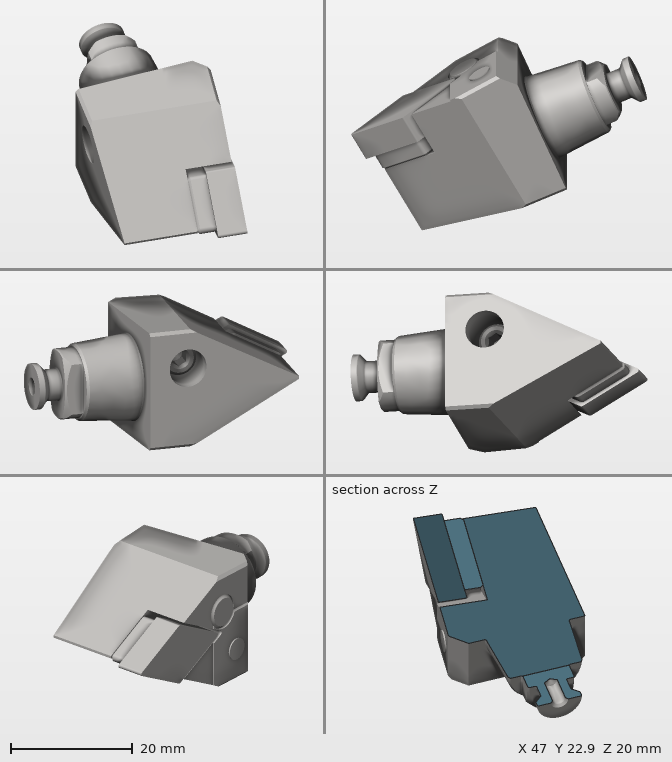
import cadquery as cq
import math

HEAD_RIM_END, HEAD_CONE_END = 1.05, 2.1
HEAD_RADIUS, NECK_RADIUS = 3.85, 2.65
STUD_FILLET = 0.2
NUT_START, SHANK_START = 4.4, 7.4
NUT_RADIUS = 5.88
NUT_RIM_CHAMFER = 0.2
NUT_FLAT_HALF = 4.05
FLAT_FOOT = 0.2
NUT_CORNER_RADIUS = 10.35
NUT_FACE_HALF = 3.8
STUD_HOLE_RADIUS, STUD_HOLE_DEPTH = 1.1, 4.7
STUD_SINK_RADIUS = 1.5

SHANK_NOSE_RADIUS, SHANK_NOSE_CHAMFER = 6.1, 0.4
TAPER_START_RADIUS, TAPER_END_RADIUS = 6.45, 7.15
TAPER_END, COLLAR_END = 16.1, 16.83
COLLAR_RADIUS, SHANK_ROOT_RADIUS = 7.2, 7.35

BLOCK_START = 17.05
BLOCK_HALF = 10.0
EDGE_CHAMFER = 0.5
CORNER_START_Y = 10.15
TILT = 6.0

RAKE_V = 14.8
PAD_HEIGHT = 0.3
PAD_END_U, PAD_TOP_Z = 27.02, 2.8
WEDGE_HALF_ANGLE = math.radians(27.5)
WEDGE_POINT_U, WEDGE_TIP_U = 44.3, 43.9

OVERALL_LENGTH = 47.0
INSERT_THICKNESS = 4.9
INSERT_INRADIUS, INSERT_CORNER_RADIUS = 4.75, 0.4
SHIM_INRADIUS, SHIM_CORNER_RADIUS = 4.15, 0.75
SHIM_SHIFT = 0.15
SHIM_BOTTOM_V, SHIM_CHAMFER = 6.8, 0.4
POCKET_GAP = 0.45

SCREW_U, SCREW_Z = 24.6, 3.52
SCREW_RADIUS, SCREW_CHAMFER = 2.95, 0.5
SCREW_FACE_V = -1.6
SCREW_BORE_RADIUS, SCREW_BORE_END_V = 3.2, 1.9
SCREW_SOCKET_FLATS, SCREW_SOCKET_DEPTH = 2.5, 3.3
SCREW_SINK_RADIUS = 1.8
PLUG_U, PLUG_Z = 21.4, -4.35
PLUG_RADIUS, PLUG_DEPTH, PLUG_PROUD = 1.9, 4.7, 0.25

FAR = 94.0
SINK_ANGLE = math.radians(45)
HEX_HALF_ANGLE = 30.0
DRILL_ANGLE = math.radians(30)

RECESS_V = RAKE_V - PAD_HEIGHT
INSERT_BOTTOM_V = RAKE_V - INSERT_THICKNESS
TILT_ANGLE = math.radians(TILT)
NOSE_REACH = OVERALL_LENGTH - INSERT_CORNER_RADIUS - RAKE_V * math.sin(TILT_ANGLE)
NOSE_ARC_U = NOSE_REACH / math.cos(TILT_ANGLE)
INSERT_CENTER_U = NOSE_ARC_U - (INSERT_INRADIUS - INSERT_CORNER_RADIUS) / math.sin(WEDGE_HALF_ANGLE)


def tilted(shape):
    """Turn a shape from the head frame (U, V, Z) into the part axes."""
    return shape.rotate((0, 0, 0), (0, 0, 1), -TILT)


def head_plane(v, u=0.0, z=0.0):
    """Plane facing +V in the head frame, with local x along U and local y along -Z."""
    return cq.Workplane(cq.Plane(origin=(u, v, z), xDir=(1, 0, 0), normal=(0, 1, 0)))


def turned(points):
    """Solid of revolution about X from (x, radius) points."""
    return cq.Workplane("XY").polyline(points).close().revolve(360, (0, 0, 0), (1, 0, 0))


def diamond(center_u, inradius, bottom_v, height, corner_radius):
    """Rhombic prism with its long diagonal along U and all four upright corners rounded."""
    half_long = inradius / math.sin(WEDGE_HALF_ANGLE)
    half_short = inradius / math.cos(WEDGE_HALF_ANGLE)
    corners = [(half_long, 0), (0, half_short), (-half_long, 0), (0, -half_short)]
    prism = head_plane(bottom_v, center_u).polyline(corners).close().extrude(height)
    return prism.edges("|Y").fillet(corner_radius)


def hex_socket(flats, depth, sink_radius):
    """Cutter along +Z from the origin: hexagon, 45 degree countersink and drilled bottom."""
    across_corners = flats / math.cos(math.radians(HEX_HALF_ANGLE))
    hexagon = cq.Workplane("XY").polygon(6, across_corners).extrude(depth)
    sink_depth = sink_radius / math.tan(SINK_ANGLE)
    sink = cq.Workplane("XZ").polyline([(0, 0), (sink_radius, 0), (0, sink_depth)]).close()
    drill_depth = flats / 2 * math.tan(DRILL_ANGLE)
    drill_points = [(0, depth), (flats / 2, depth), (0, depth + drill_depth)]
    drill = cq.Workplane("XZ").polyline(drill_points).close()
    axis = ((0, 0, 0), (0, 1, 0))
    return hexagon.union(sink.revolve(360, *axis)).union(drill.revolve(360, *axis))


def make_pull_stud():
    stud = turned([
        (0, 0),
        (0, HEAD_RADIUS),
        (HEAD_RIM_END, HEAD_RADIUS),
        (HEAD_CONE_END, NECK_RADIUS),
        (NUT_START, NECK_RADIUS),
        (NUT_START, 0),
    ])
    nut = turned([
        (NUT_START, 0),
        (NUT_START, NUT_RADIUS - NUT_RIM_CHAMFER),
        (NUT_START + NUT_RIM_CHAMFER, NUT_RADIUS),
        (SHANK_START, NUT_RADIUS),
        (SHANK_START, 0),
    ])
    nut_length = SHANK_START - NUT_START
    flats_outline = [
        (NUT_START, -NUT_FLAT_HALF),
        (SHANK_START - FLAT_FOOT, -NUT_FLAT_HALF),
        (SHANK_START, -NUT_FLAT_HALF - FLAT_FOOT),
        (SHANK_START, NUT_FLAT_HALF + FLAT_FOOT),
        (SHANK_START - FLAT_FOOT, NUT_FLAT_HALF),
        (NUT_START, NUT_FLAT_HALF),
    ]
    nut = nut.intersect(cq.Workplane("XY").polyline(flats_outline).close().extrude(FAR, both=True))
    for side in (1, -1):
        center_y = side * (NUT_FACE_HALF - NUT_CORNER_RADIUS)
        cone = (
            cq.Workplane("YZ").workplane(offset=NUT_START).center(center_y, 0)
            .circle(NUT_CORNER_RADIUS).extrude(nut_length, taper=-45)
        )
        nut = nut.intersect(cone)
    stud = stud.union(nut)
    rounded_places = (HEAD_RIM_END, HEAD_CONE_END, NUT_START)
    rounded_edges = stud.edges("%CIRCLE").filter(
        lambda edge: edge.radius() < HEAD_RADIUS + STUD_FILLET
        and any(abs(edge.Center().x - x) < STUD_FILLET / 2 for x in rounded_places)
    )
    stud = rounded_edges.fillet(STUD_FILLET)
    hole = turned([
        (0, 0),
        (0, STUD_SINK_RADIUS),
        (STUD_SINK_RADIUS - STUD_HOLE_RADIUS, STUD_HOLE_RADIUS),
        (STUD_HOLE_DEPTH, STUD_HOLE_RADIUS),
        (STUD_HOLE_DEPTH + STUD_HOLE_RADIUS * math.tan(DRILL_ANGLE), 0),
    ])
    return stud.cut(hole)


def make_shank():
    return turned([
        (SHANK_START, 0),
        (SHANK_START, SHANK_NOSE_RADIUS),
        (SHANK_START + SHANK_NOSE_CHAMFER, TAPER_START_RADIUS),
        (TAPER_END, TAPER_END_RADIUS),
        (COLLAR_END, COLLAR_RADIUS),
        (BLOCK_START, SHANK_ROOT_RADIUS),
        (BLOCK_START, 0),
    ])


def make_base_prism():
    """Square-edged block with the 45 degree back corner and the chamfered -Y edges."""
    outline = [
        (BLOCK_START, -BLOCK_HALF),
        (BLOCK_START + FAR, -BLOCK_HALF),
        (BLOCK_START + FAR, CORNER_START_Y + FAR),
        (BLOCK_START, CORNER_START_Y),
    ]
    prism = cq.Workplane("XY").polyline(outline).close().extrude(BLOCK_HALF, both=True)
    return prism.faces("<Y").edges("|X").chamfer(EDGE_CHAMFER)


def make_wedge_prism():
    """Tilted wedge outline, flat tipped, up to the rake side, with its long edges chamfered."""
    shoulder_u = WEDGE_POINT_U - BLOCK_HALF / math.tan(WEDGE_HALF_ANGLE)
    tip_half = (WEDGE_POINT_U - WEDGE_TIP_U) * math.tan(WEDGE_HALF_ANGLE)
    outline = [
        (-FAR, BLOCK_HALF),
        (shoulder_u, BLOCK_HALF),
        (WEDGE_TIP_U, tip_half),
        (WEDGE_TIP_U, -tip_half),
        (shoulder_u, -BLOCK_HALF),
        (-FAR, -BLOCK_HALF),
    ]
    wedge = head_plane(-FAR).polyline(outline).close().extrude(FAR + RAKE_V)
    wedge = wedge.cut(
        cq.Workplane("YZ").workplane(offset=-FAR)
        .polyline([
            (RAKE_V, PAD_TOP_Z - PAD_HEIGHT),
            (RECESS_V, PAD_TOP_Z),
            (RECESS_V, BLOCK_HALF),
            (RAKE_V, BLOCK_HALF),
        ]).close().extrude(2 * FAR)
    )
    beyond_pad = cq.Workplane("XY").box(FAR, PAD_HEIGHT, FAR, centered=(False, False, True))
    wedge = wedge.cut(beyond_pad.translate((PAD_END_U, RECESS_V, 0)))
    for side, edge_v in ((1, RECESS_V), (-1, RAKE_V)):
        corner = [
            (edge_v, side * BLOCK_HALF),
            (edge_v - EDGE_CHAMFER, side * BLOCK_HALF),
            (edge_v, side * (BLOCK_HALF - EDGE_CHAMFER)),
        ]
        strip = cq.Workplane("YZ").workplane(offset=-FAR).polyline(corner).close()
        wedge = wedge.cut(strip.extrude(2 * FAR))
    return wedge


def make_pocket():
    """Insert pocket: an oversize diamond, so that a gap stays behind the insert."""
    inradius = INSERT_INRADIUS + POCKET_GAP
    return diamond(INSERT_CENTER_U, inradius, SHIM_BOTTOM_V, FAR, INSERT_CORNER_RADIUS)


def rod(u, z, radius, start_v, end_v):
    """Round rod along V in the head frame."""
    return head_plane(start_v, u, z).circle(radius).extrude(end_v - start_v)


def make_screw():
    screw = rod(SCREW_U, SCREW_Z, SCREW_RADIUS, SCREW_FACE_V, RAKE_V).edges().chamfer(SCREW_CHAMFER)
    socket = hex_socket(SCREW_SOCKET_FLATS, SCREW_SOCKET_DEPTH, SCREW_SINK_RADIUS)
    socket = socket.rotate((0, 0, 0), (0, 0, 1), HEX_HALF_ANGLE).rotate((0, 0, 0), (1, 0, 0), -90)
    return tilted(screw.cut(socket.translate((SCREW_U, SCREW_FACE_V, SCREW_Z))))


def make_holder():
    wedge = make_wedge_prism().cut(make_pocket())
    wedge = wedge.cut(rod(SCREW_U, SCREW_Z, SCREW_BORE_RADIUS, -FAR, SCREW_BORE_END_V))
    wedge = wedge.cut(rod(SCREW_U, SCREW_Z, SCREW_RADIUS, SCREW_BORE_END_V, FAR))
    wedge = wedge.cut(rod(PLUG_U, PLUG_Z, PLUG_RADIUS, RAKE_V - PLUG_DEPTH, FAR))
    return tilted(wedge).intersect(make_base_prism()).union(make_shank())


def make_insert():
    insert = diamond(
        INSERT_CENTER_U, INSERT_INRADIUS, INSERT_BOTTOM_V, INSERT_THICKNESS, INSERT_CORNER_RADIUS
    )
    return tilted(insert)


def make_shim():
    thickness = INSERT_BOTTOM_V - SHIM_BOTTOM_V
    center_u = INSERT_CENTER_U + SHIM_SHIFT
    shim = diamond(center_u, SHIM_INRADIUS, SHIM_BOTTOM_V, thickness, SHIM_CORNER_RADIUS)
    return tilted(shim.faces("<Y").edges().chamfer(SHIM_CHAMFER))


def make_plug():
    return tilted(rod(PLUG_U, PLUG_Z, PLUG_RADIUS, RAKE_V - PLUG_DEPTH, RAKE_V + PLUG_PROUD))


pull_stud = make_pull_stud()
holder = make_holder()
insert = make_insert()
shim = make_shim()
screw = make_screw()
plug = make_plug()

result = cq.Compound.makeCompound([
    pull_stud.solids().val(),
    holder.solids().val(),
    insert.solids().val(),
    shim.solids().val(),
    screw.solids().val(),
    plug.solids().val(),
])